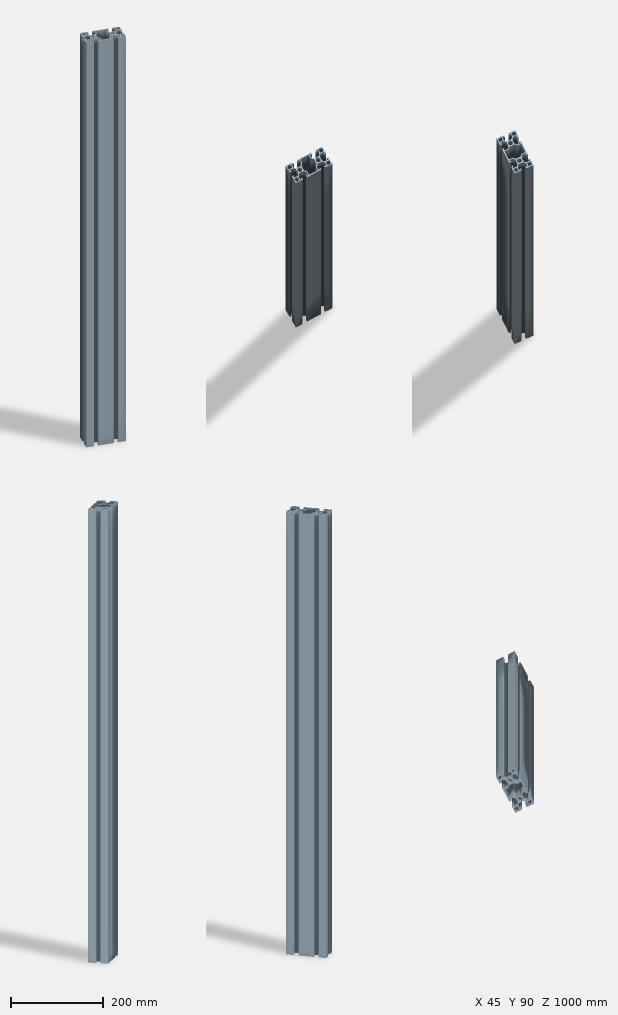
import cadquery as cq

length = 1000.0
cell = 45.0
half_cell = cell / 2
corner_radius = 0.5

mouth_half_width = 4.8
mouth_chamfer_width = 1.0
mouth_chamfer_depth = 2.0
lip_thickness = 1.8
lip_root_thickness = 2.8
lip_hook_depth = 4.8
lip_hook_width = 2.5
slot_half_width = 10.0
groove_half_width = 1.0
groove_depth = 1.0

core_half_width = 7.0
web_offset = 1.4
bore_radius = 5.0
core_flat_half_width = core_half_width - web_offset

hollow_half_height = 10.5
hollow_half_width = 20.0
hollow_chamfer = 1.0

pocket_inner = 12.0
pocket_outer = 20.5
pocket_chamfer = 2.0

recess_half_width = 8.0
recess_depth = 0.2


def prism(points):
    return cq.Workplane("XY").workplane(offset=-length / 2).polyline(points).close().extrude(length)


def slot_cutter():
    """T-slot of a cell centred on the origin, open towards +Y."""
    right_half = [
        (mouth_half_width + mouth_chamfer_width, half_cell),
        (mouth_half_width, half_cell - mouth_chamfer_depth),
        (mouth_half_width, half_cell - lip_hook_depth),
        (mouth_half_width + lip_hook_width, half_cell - lip_hook_depth),
        (mouth_half_width + lip_hook_width, half_cell - lip_thickness),
        (slot_half_width, half_cell - lip_root_thickness),
        (slot_half_width, slot_half_width + web_offset),
        (core_flat_half_width, core_half_width),
        (groove_half_width, core_half_width),
    ]
    left_half = [(-x, y) for x, y in reversed(right_half)]
    groove_bottom = (0, core_half_width - groove_depth)
    return prism(right_half + [groove_bottom] + left_half)


def hollow_cutter():
    """Hollow between the cells, with sloped walls along the diagonal webs."""
    core_face = half_cell - core_half_width
    web_run = core_face - hollow_half_height
    upper_right = [
        (core_flat_half_width, core_face),
        (core_flat_half_width + web_run, hollow_half_height),
        (hollow_half_width - hollow_chamfer, hollow_half_height),
        (hollow_half_width, hollow_half_height - hollow_chamfer),
    ]
    right_half = upper_right + [(x, -y) for x, y in reversed(upper_right)]
    left_half = [(-x, -y) for x, y in right_half]
    return prism(right_half + left_half)


def pocket_cutter(side_x, side_y):
    """Corner hollow, chamfered at the outer corner of the section."""
    outline = [
        (pocket_inner, pocket_inner),
        (pocket_outer, pocket_inner),
        (pocket_outer, pocket_outer - pocket_chamfer),
        (pocket_outer - pocket_chamfer, pocket_outer),
        (pocket_inner, pocket_outer),
    ]
    return prism([(side_x * x, side_y * (half_cell + y)) for x, y in outline])


def recess_cutter(side_x):
    """Shallow recess in one long side, centred between its two slots."""
    floor = half_cell - recess_depth
    outline = [
        (half_cell, -recess_half_width),
        (half_cell, recess_half_width),
        (floor, recess_half_width),
        (floor, -recess_half_width),
    ]
    return prism([(side_x * x, y) for x, y in outline])


body = cq.Workplane("XY").box(cell, 2 * cell, length).edges("|Z").fillet(corner_radius)
slot = slot_cutter()
bore = cq.Workplane("XY").circle(bore_radius).extrude(length / 2, both=True)

for side_y in (1, -1):
    cell_centre = (0, side_y * half_cell, 0)
    end_slot_angle = 0 if side_y > 0 else 180
    for angle in (90, -90, end_slot_angle):
        turned_slot = slot.rotate((0, 0, 0), (0, 0, 1), angle)
        body = body.cut(turned_slot.translate(cell_centre))
    body = body.cut(bore.translate(cell_centre))
    for side_x in (1, -1):
        body = body.cut(pocket_cutter(side_x, side_y))

body = body.cut(hollow_cutter())
for side_x in (1, -1):
    body = body.cut(recess_cutter(side_x))

result = body